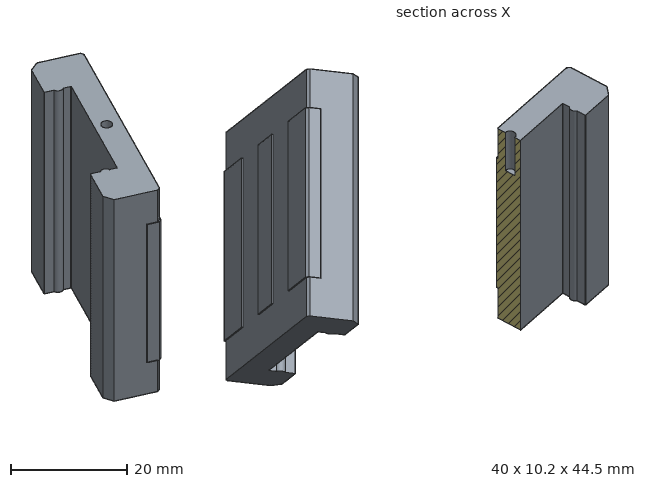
import cadquery as cq

overall_width = 40.0
overall_depth = 10.2
length = 44.5
side_strip_thickness = 0.155
back_strip_thickness = 0.245

block_width = overall_width - 2 * side_strip_thickness
block_depth = overall_depth - back_strip_thickness
front_chamfer = 1.5
back_chamfer = 0.5

channel_width = 23.65
channel_depth = 4.95
floor_corner_chamfer = 0.1
mouth_chamfer = 0.11

bead_diameter = 2.0
bead_height = 0.45
bead_y = 2.65

hole_diameter = 2.0
hole_y = 7.2
hole_depth = 8.9

strip_length = 30.5
strip_start = (length - strip_length) / 2
corner_strip_depth = 2.75
strip_edge_chamfer = 0.15
strip_gap_outer_x = 11.15
center_strip_width = 6.68


def make_block():
    """Rectangular bar with chamfered long edges on the outside."""
    bar = cq.Workplane("XY").box(block_width, block_depth, length, centered=(True, False, False))
    bar = bar.faces("<Y").edges("|Z").chamfer(front_chamfer)
    return bar.faces(">Y").edges("|Z").chamfer(back_chamfer)


def make_channel():
    """Channel cutter: chamfered floor corners and a slightly flared mouth."""
    half = channel_width / 2
    right_side = [
        (half + mouth_chamfer, 0),
        (half, mouth_chamfer),
        (half, channel_depth - floor_corner_chamfer),
        (half - floor_corner_chamfer, channel_depth),
    ]
    left_side = [(-x, y) for x, y in reversed(right_side)]
    return cq.Workplane("XY").polyline(right_side + left_side).close().extrude(length)


def make_beads():
    """One cylinder per wall, sunk into the leg so that only the bead height stands out."""
    axis_x = channel_width / 2 - bead_height + bead_diameter / 2
    return (
        cq.Workplane("XY")
        .pushPoints([(-axis_x, bead_y), (axis_x, bead_y)])
        .circle(bead_diameter / 2)
        .extrude(length)
    )


def make_corner_strip(side):
    """Strip wrapped around a back corner; side is +1 for +X and -1 for -X."""
    outer_x = overall_width / 2
    inner_x = block_width / 2
    end_y = overall_depth - corner_strip_depth
    section = [
        (strip_gap_outer_x, block_depth),
        (strip_gap_outer_x, overall_depth),
        (outer_x - back_chamfer, overall_depth),
        (outer_x, overall_depth - back_chamfer),
        (outer_x, end_y + strip_edge_chamfer),
        (outer_x - strip_edge_chamfer, end_y),
        (inner_x, end_y),
        (inner_x, block_depth - back_chamfer),
        (inner_x - back_chamfer, block_depth),
    ]
    points = [(side * x, y) for x, y in section]
    base = cq.Workplane("XY", origin=(0, 0, strip_start))
    return base.polyline(points).close().extrude(strip_length)


def make_center_strip():
    """Flat strip along the middle of the back."""
    return (
        cq.Workplane("XY", origin=(0, block_depth, strip_start))
        .box(center_strip_width, back_strip_thickness, strip_length, centered=(True, False, False))
    )


def make_hole():
    """Blind hole drilled down from the top end."""
    return (
        cq.Workplane("XY", origin=(0, hole_y, length))
        .circle(hole_diameter / 2)
        .extrude(-hole_depth)
    )


result = make_block().cut(make_channel()).union(make_beads()).cut(make_hole())
for side in (-1, 1):
    result = result.union(make_corner_strip(side))
result = result.union(make_center_strip())